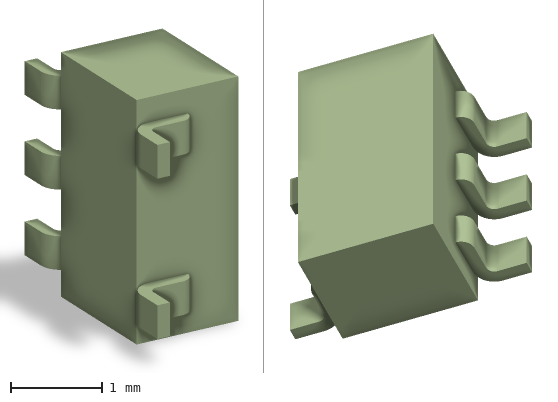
import cadquery as cq

total_height = 2.9
housing_width = 1.6
housing_depth = 1.302
standoff = 0.1

lead_pitch = 0.95
lead_width = 0.4
lead_thickness = 0.16
lead_reach = 0.6
lead_rise = 0.75
inner_bend_radius = 0.095
outer_bend_radius = inner_bend_radius + lead_thickness

LEFT = -1
RIGHT = 1
lead_places = [
    (LEFT, -lead_pitch),
    (LEFT, 0),
    (LEFT, lead_pitch),
    (RIGHT, -lead_pitch),
    (RIGHT, lead_pitch),
]


def make_housing():
    """Block raised above the seating plane, with its front toward -Y."""
    return cq.Workplane("XY").box(housing_width, housing_depth, total_height).translate(
        (0, standoff + housing_depth / 2, 0)
    )


def make_lead(side, z_center):
    """Bent strip that lies against one side of the housing and ends in a flat foot."""
    wall_x = side * housing_width / 2
    tip_x = wall_x + side * lead_reach
    outer_x = wall_x + side * lead_thickness
    bend_x = wall_x + side * outer_bend_radius
    shoulder_y = lead_rise - lead_thickness

    profile = (
        cq.Workplane("XY", origin=(0, 0, z_center))
        .moveTo(tip_x, 0)
        .lineTo(bend_x, 0)
        .radiusArc((wall_x, outer_bend_radius), side * outer_bend_radius)
        .lineTo(wall_x, lead_rise)
        .radiusArc((outer_x, shoulder_y), side * lead_thickness)
        .lineTo(outer_x, outer_bend_radius)
        .radiusArc((bend_x, lead_thickness), -side * inner_bend_radius)
        .lineTo(tip_x, lead_thickness)
        .close()
    )
    return profile.extrude(lead_width / 2, both=True)


housing = make_housing()
leads = [make_lead(side, z_center) for side, z_center in lead_places]

result = cq.Compound.makeCompound([housing.val(), *[lead.val() for lead in leads]])